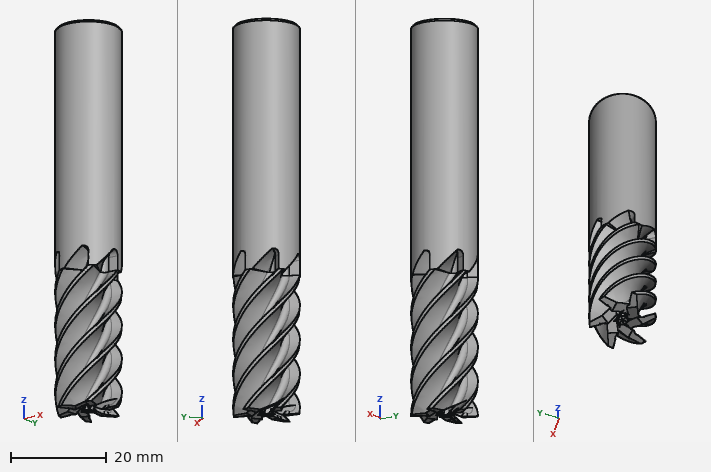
import cadquery as cq
import math


TOTAL_LENGTH = 84.0
DIAMETER = 14.0
CUTTING_LENGTH = 30.0
SHANK_CHAMFER = 0.6
FLUTE_COUNT = 6
HELIX_ANGLE = 45.0

LAND_ANGLE = 9.0
LAND_END_RADIUS = 6.9
HEEL_ANGLE = 41.0
HEEL_RADIUS = 3.5
RAKE_ROOT_LEAD = 1.5
RAKE_ROOT_RADIUS = 4.8
FLUTE_BOTTOM_ANGLE = 46.0
CORE_RADIUS = 3.4

RUNOUT_LENGTH = 4.3
RUNOUT_OPENING_ANGLE = 14.0
RUNOUT_ROUNDING = 1.1

GASH_HEIGHT = 2.35
GASH_WIDTH = 2.7
GASH_LEAN = 41.0
GASH_START_RADIUS = 1.0

RELIEF_WIDTH = 2.1
RELIEF_ANGLE = 5.0

TOOL_OVERRUN = 1.3

RADIUS = DIAMETER / 2
PITCH_ANGLE = 360.0 / FLUTE_COUNT
LEAD = math.pi * DIAMETER / math.tan(math.radians(HELIX_ANGLE))
TWIST_PER_UNIT = 360.0 / LEAD
RAKE_ROOT_ANGLE = PITCH_ANGLE + RAKE_ROOT_LEAD


def polar(radius, angle):
    turn = math.radians(angle)
    return (radius * math.cos(turn), radius * math.sin(turn))


def beyond(start, end, radius):
    """Point on the line from start through end where it reaches the given radius."""
    dx, dy = end[0] - start[0], end[1] - start[1]
    a = dx * dx + dy * dy
    b = start[0] * dx + start[1] * dy
    c = start[0] ** 2 + start[1] ** 2 - radius ** 2
    step = (math.sqrt(b * b - a * c) - b) / a
    return (start[0] + step * dx, start[1] + step * dy)


def cutter_section():
    """Outline of all teeth at the end face, one tooth after another anticlockwise."""
    section = cq.Workplane("XY").moveTo(RADIUS, 0)
    for tooth in range(FLUTE_COUNT):
        edge = tooth * PITCH_ANGLE
        section = (
            section.lineTo(*polar(LAND_END_RADIUS, edge + LAND_ANGLE))
            .lineTo(*polar(HEEL_RADIUS, edge + HEEL_ANGLE))
            .threePointArc(
                polar(CORE_RADIUS, edge + FLUTE_BOTTOM_ANGLE),
                polar(RAKE_ROOT_RADIUS, edge + RAKE_ROOT_ANGLE),
            )
        )
        if tooth < FLUTE_COUNT - 1:
            section = section.lineTo(*polar(RADIUS, edge + PITCH_ANGLE))
    return section.close()


def end_gash():
    """Notch ahead of an end cutting edge: a leaning wall along the edge and a slope down to the next heel."""
    wall_top = GASH_HEIGHT * math.tan(math.radians(GASH_LEAN))
    return (
        cq.Workplane("YZ", origin=(GASH_START_RADIUS, 0, 0))
        .moveTo(0, -TOOL_OVERRUN)
        .lineTo(0, 0)
        .lineTo(wall_top, GASH_HEIGHT)
        .lineTo(-GASH_WIDTH, 0)
        .lineTo(-GASH_WIDTH, -TOOL_OVERRUN)
        .close()
        .extrude(DIAMETER)
    )


def end_relief():
    """Wedge that tilts the end face of a tooth upwards behind its end cutting edge."""
    rise = RELIEF_WIDTH * math.tan(math.radians(RELIEF_ANGLE))
    return (
        cq.Workplane("YZ")
        .polyline([(0, 0), (RELIEF_WIDTH, rise), (RELIEF_WIDTH, -TOOL_OVERRUN), (0, -TOOL_OVERRUN)])
        .close()
        .extrude(DIAMETER)
    )


def make_cutter():
    """Right-hand helical cutter body with gashed and relieved end teeth."""
    body = cutter_section().twistExtrude(CUTTING_LENGTH, CUTTING_LENGTH * TWIST_PER_UNIT)
    for tooth in range(FLUTE_COUNT):
        for cut in (end_gash(), end_relief()):
            body = body.cut(cut.rotate((0, 0, 0), (0, 0, 1), tooth * PITCH_ANGLE))
    return body


def flute_section():
    """Outline of one flute, open to the outside of the shank."""
    outer = RADIUS + TOOL_OVERRUN
    opening = polar(RADIUS, RUNOUT_OPENING_ANGLE)
    heel = polar(HEEL_RADIUS, HEEL_ANGLE)
    root = polar(RAKE_ROOT_RADIUS, RAKE_ROOT_ANGLE)
    return (
        cq.Workplane("XY")
        .moveTo(*beyond(heel, opening, outer))
        .lineTo(*heel)
        .threePointArc(polar(CORE_RADIUS, FLUTE_BOTTOM_ANGLE), root)
        .lineTo(*beyond(root, polar(RADIUS, PITCH_ANGLE), outer))
        .close()
    )


def flute_runout():
    """End of a flute: the twisted flute as far as an upright rake wall with a rounded top bounds it."""
    helical = flute_section().twistExtrude(RUNOUT_LENGTH, RUNOUT_LENGTH * TWIST_PER_UNIT)
    rake_wall_end = (*polar(RADIUS, PITCH_ANGLE), RUNOUT_LENGTH)
    upright = (
        flute_section()
        .extrude(RUNOUT_LENGTH)
        .edges(cq.selectors.NearestToPointSelector(rake_wall_end))
        .fillet(RUNOUT_ROUNDING)
    )
    return helical.intersect(upright)


def make_shank():
    """Chamfered shank whose lower end continues the flutes of the cutter body."""
    body = (
        cq.Workplane("XY", origin=(0, 0, CUTTING_LENGTH))
        .circle(RADIUS)
        .extrude(TOTAL_LENGTH - CUTTING_LENGTH)
        .faces(">Z")
        .chamfer(SHANK_CHAMFER)
    )
    runout = flute_runout().translate((0, 0, CUTTING_LENGTH))
    start = CUTTING_LENGTH * TWIST_PER_UNIT
    for flute in range(FLUTE_COUNT):
        body = body.cut(runout.rotate((0, 0, 0), (0, 0, 1), start + flute * PITCH_ANGLE))
    return body


cutter = make_cutter()
shank = make_shank()
result = cq.Compound.makeCompound([cutter.val(), shank.val()])